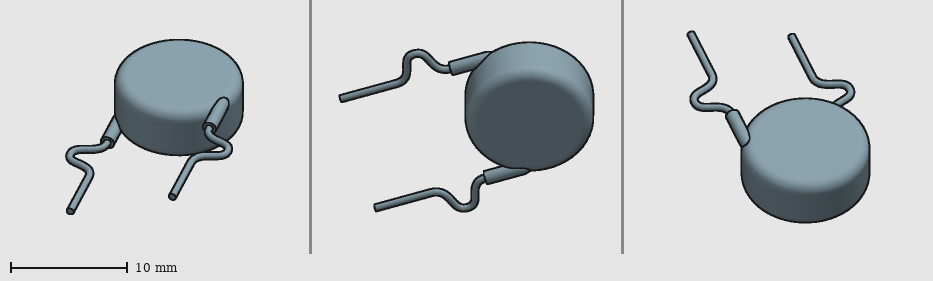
import cadquery as cq

disc_diameter = 11.0
disc_height = 5.0
disc_rounding = 1.0
disc_radius = disc_diameter / 2

sleeve_diameter = 1.2
sleeve_length = 3.15
sleeve_end_length = 1.36
sleeve_radius = sleeve_diameter / 2

lead_diameter = 0.65
lead_pitch_x = 9.22
lead_pitch_z = 3.9
kink_length = 5.0
kink_depth = 2.5
kink_slope_out = 1.3
kink_slope_down = 1.43
tail_length = 5.0
lead_radius = lead_diameter / 2

lead_sides = (-1, 1)
sleeve_bottom_y = -disc_radius


def lead_position(side, y):
    return (side * lead_pitch_x / 2, y, side * lead_pitch_z / 2)


def make_sleeve(side):
    """Round sleeve whose inner end curves in to a point inside the disc."""
    sleeve = (
        cq.Workplane("XY")
        .lineTo(sleeve_radius, 0)
        .lineTo(sleeve_radius, sleeve_length)
        .tangentArcPoint((0, sleeve_length + sleeve_end_length), relative=False)
        .close()
        .revolve(360, (0, 0, 0), (0, 1, 0))
    )
    return sleeve.translate(lead_position(side, sleeve_bottom_y))


def make_coating():
    coating = cq.Workplane("XY").cylinder(disc_height, disc_radius)
    coating = coating.faces("|Z").edges().fillet(disc_rounding)
    for side in lead_sides:
        coating = coating.union(make_sleeve(side))
    return coating


def kink_path(side):
    """Centre line: a smooth bend outward, its mirror image back, then the straight tail."""
    straight_down = (0, -1)

    def point(out, down):
        return (side * out, -down)

    start = point(0, 0)
    slope_out = point(kink_slope_out, kink_slope_down)
    peak = point(kink_depth, kink_length / 2)
    slope_back = point(kink_slope_out, kink_length - kink_slope_down)
    end = point(0, kink_length)
    tail_end = point(0, kink_length + tail_length)

    return (
        cq.Workplane("XY", origin=lead_position(side, sleeve_bottom_y))
        .spline([start, slope_out, peak], tangents=[straight_down, straight_down])
        .spline([peak, slope_back, end], tangents=[straight_down, straight_down])
        .lineTo(*tail_end)
    )


def make_lead(side):
    """Kinked round wire that starts at the lower face of its sleeve."""
    section = cq.Workplane("XZ", origin=lead_position(side, sleeve_bottom_y)).circle(lead_radius)
    return section.sweep(kink_path(side))


coating = make_coating()
leads = [make_lead(side) for side in lead_sides]

result = cq.Compound.makeCompound([coating.val(), *[lead.val() for lead in leads]])